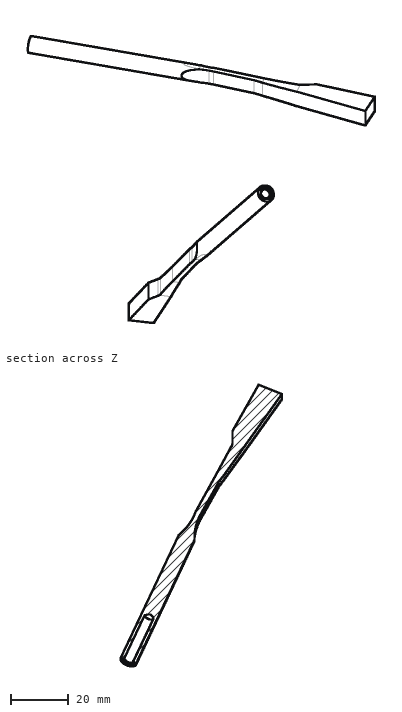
import cadquery as cq
import math

length = 125.0
rod_diameter = 6.0
rod_radius = rod_diameter / 2

bore_diameter = 3.3
bore_depth = 20.0
bore_mouth_chamfer = 0.5
drill_point_angle = 118.0

scoop_start = 55.8
flat_start = 61.6
neck_end = 65.3
blade_start = 66.9
bend_start = 81.9
bend_end = 85.0
paddle_start = 98.1
paddle_peak = 103.5
lower_tip_x = 124.3

neck_half_width = 1.0
blade_top_y = 1.1
bend_top_y = 0.1
paddle_root_y = -0.5
paddle_peak_y = 1.5
upper_tip_y = 0.1
lower_tip_y = -9.0
blade_bottom_y = -1.06
bend_start_bottom_y = -2.0
bend_end_bottom_y = -2.6
paddle_root_fillet = 3.8
bend_radius = 37.5

neck_height = 5.6
paddle_height = 6.3
neck_half_height = neck_height / 2
paddle_half_height = paddle_height / 2

profile_margin = 1.3


def arc_middle(start, end):
    """Midpoint of an arc from start to end that curves inward and is parallel to X at end."""
    run = abs(end[0] - start[0])
    toward_start = math.copysign(1, start[0] - end[0])
    drop = abs(start[1] - end[1])
    radius = (run**2 + drop**2) / (2 * drop)
    half_angle = math.asin(run / radius) / 2
    side = math.copysign(1, end[1])
    x = end[0] + toward_start * radius * math.sin(half_angle)
    y = end[1] + side * radius * (1 - math.cos(half_angle))
    return (x, y)


def ramp_middle(side):
    """Midpoint of the curved height ramp on the upper (1) or lower (-1) face."""
    paddle_edge = (paddle_start, side * paddle_half_height)
    neck_edge = (bend_end, side * neck_half_height)
    return arc_middle(paddle_edge, neck_edge)


def plan_body():
    """Thick extrusion of the outline in the XY plane."""
    upper_scoop = (scoop_start, rod_radius)
    upper_neck = (neck_end, neck_half_width)
    lower_scoop = (scoop_start, -rod_radius)
    lower_neck = (neck_end, -neck_half_width)
    outline = (
        cq.Workplane("XY")
        .moveTo(0, -rod_radius)
        .lineTo(*lower_scoop)
        .threePointArc(arc_middle(lower_scoop, lower_neck), lower_neck)
        .lineTo(blade_start, blade_bottom_y)
        .lineTo(bend_start, bend_start_bottom_y)
        .radiusArc((bend_end, bend_end_bottom_y), bend_radius)
        .lineTo(lower_tip_x, lower_tip_y)
        .lineTo(length, upper_tip_y)
        .lineTo(paddle_peak, paddle_peak_y)
        .lineTo(paddle_start, paddle_root_y)
        .lineTo(bend_end, bend_top_y)
        .lineTo(blade_start, blade_top_y)
        .lineTo(*upper_neck)
        .threePointArc(arc_middle(upper_scoop, upper_neck), upper_scoop)
        .lineTo(0, rod_radius)
        .close()
    )
    body = outline.extrude(paddle_half_height + profile_margin, both=True)
    root = cq.selectors.NearestToPointSelector((paddle_start, paddle_root_y, 0))
    return body.edges("|Z").edges(root).fillet(paddle_root_fillet)


def side_body():
    """Wide extrusion of the height profile in the XZ plane."""
    top_scoop = (scoop_start, rod_radius)
    top_flat = (flat_start, neck_half_height)
    bottom_scoop = (scoop_start, -rod_radius)
    bottom_flat = (flat_start, -neck_half_height)
    return (
        cq.Workplane("XZ")
        .moveTo(0, -rod_radius)
        .lineTo(*bottom_scoop)
        .threePointArc(arc_middle(bottom_scoop, bottom_flat), bottom_flat)
        .lineTo(bend_end, -neck_half_height)
        .threePointArc(ramp_middle(-1), (paddle_start, -paddle_half_height))
        .lineTo(length, -paddle_half_height)
        .lineTo(length, paddle_half_height)
        .lineTo(paddle_start, paddle_half_height)
        .threePointArc(ramp_middle(1), (bend_end, neck_half_height))
        .lineTo(*top_flat)
        .threePointArc(arc_middle(top_scoop, top_flat), top_scoop)
        .lineTo(0, rod_radius)
        .close()
        .extrude(abs(lower_tip_y) + profile_margin, both=True)
    )


def bore():
    """Drilled hole with a chamfered mouth and a conical bottom."""
    bore_radius = bore_diameter / 2
    point_length = bore_radius / math.tan(math.radians(drill_point_angle / 2))
    return (
        cq.Workplane("XY")
        .lineTo(0, bore_radius + bore_mouth_chamfer)
        .lineTo(bore_mouth_chamfer, bore_radius)
        .lineTo(bore_depth, bore_radius)
        .lineTo(bore_depth + point_length, 0)
        .close()
        .revolve(360, (0, 0, 0), (1, 0, 0))
    )


shaped = plan_body().intersect(side_body())
rod_envelope = cq.Workplane("YZ").circle(rod_radius).extrude(flat_start)
handle = shaped.intersect(rod_envelope)
blade_zone = cq.Workplane("YZ", origin=(flat_start, 0, 0)).circle(length).extrude(length)
blade = shaped.intersect(blade_zone)
result = handle.union(blade).cut(bore())